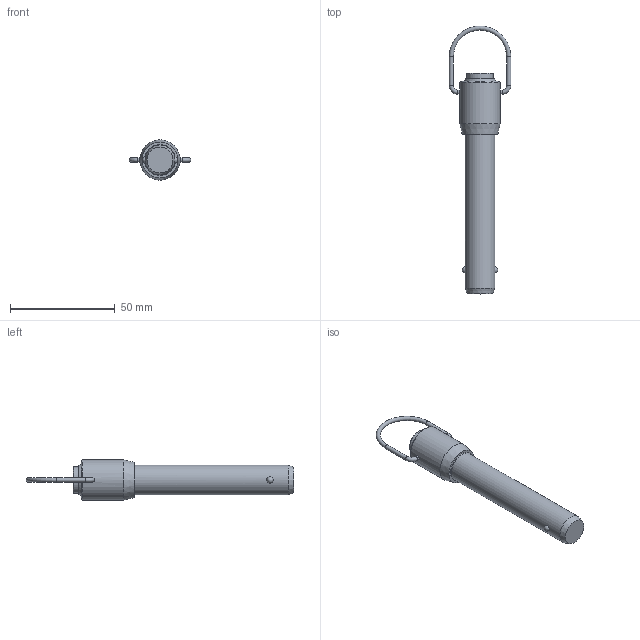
import cadquery as cq

overall_length = 128.02
ring_top_to_button = 22.5
button_height = 2.75
collar_height = 1.2
grip_length = 20.2
taper_length = 5.0
tip_chamfer_length = 2.8

shank_diameter = 14.29
tip_diameter = 12.4
grip_diameter = 19.3
taper_end_diameter = 17.0
button_diameter = 12.7
collar_top_diameter = 14.1
collar_base_diameter = 14.8

rim_chamfer = 0.4
button_chamfer = 0.3
shoulder_fillet = 0.3

ring_width = 29.46
wire_diameter = 2.0
ring_leg_length = 13.7
ring_bend_radius = 3.2
ring_end_embedding = 3.0

ball_diameter = 3.0
ball_distance_from_tip = 11.5
ball_span = 16.9

button_top = overall_length - ring_top_to_button
collar_top = button_top - button_height
grip_top = collar_top - collar_height
taper_top = grip_top - grip_length
taper_bottom = taper_top - taper_length


def make_pin():
    """Shank, tapered grip, collar and push button, turned about the Y axis."""
    shank_radius = shank_diameter / 2
    grip_radius = grip_diameter / 2
    button_radius = button_diameter / 2
    outline = (
        cq.Workplane("XY")
        .moveTo(0, 0)
        .lineTo(tip_diameter / 2, 0)
        .lineTo(shank_radius, tip_chamfer_length)
        .lineTo(shank_radius, taper_bottom - shoulder_fillet)
        .radiusArc((shank_radius + shoulder_fillet, taper_bottom), shoulder_fillet)
        .lineTo(taper_end_diameter / 2, taper_bottom)
        .lineTo(grip_radius, taper_top)
        .lineTo(grip_radius, grip_top - rim_chamfer)
        .lineTo(grip_radius - rim_chamfer, grip_top)
        .lineTo(collar_base_diameter / 2, grip_top)
        .lineTo(collar_top_diameter / 2, collar_top)
        .lineTo(button_radius, collar_top)
        .lineTo(button_radius, button_top - button_chamfer)
        .lineTo(button_radius - button_chamfer, button_top)
        .lineTo(0, button_top)
        .close()
    )
    return outline.revolve(360, (0, 0), (0, 1))


def make_ring():
    """U-shaped wire ring whose two inturned ends are held in the grip."""
    bow_radius = (ring_width - wire_diameter) / 2
    bow_center_y = overall_length - ring_width / 2
    leg_bottom = bow_center_y - ring_leg_length
    end_y = leg_bottom - ring_bend_radius
    bend_x = bow_radius - ring_bend_radius
    end_x = grip_diameter / 2 - ring_end_embedding
    path = (
        cq.Workplane("XY")
        .moveTo(-end_x, end_y)
        .lineTo(-bend_x, end_y)
        .tangentArcPoint((-bow_radius, leg_bottom), relative=False)
        .lineTo(-bow_radius, bow_center_y)
        .threePointArc((0, bow_center_y + bow_radius), (bow_radius, bow_center_y))
        .lineTo(bow_radius, leg_bottom)
        .tangentArcPoint((bend_x, end_y), relative=False)
        .lineTo(end_x, end_y)
    )
    section = cq.Workplane("YZ", origin=(-end_x, end_y, 0)).circle(wire_diameter / 2)
    return section.sweep(path)


def make_ball(side):
    """Locking ball protruding from the shank on the given side (-1 or +1)."""
    ball_x = side * (ball_span - ball_diameter) / 2
    ball = cq.Workplane("XY").sphere(ball_diameter / 2)
    return ball.translate((ball_x, ball_distance_from_tip, 0))


result = make_pin().union(make_ring())
for side in (-1, 1):
    result = result.union(make_ball(side))